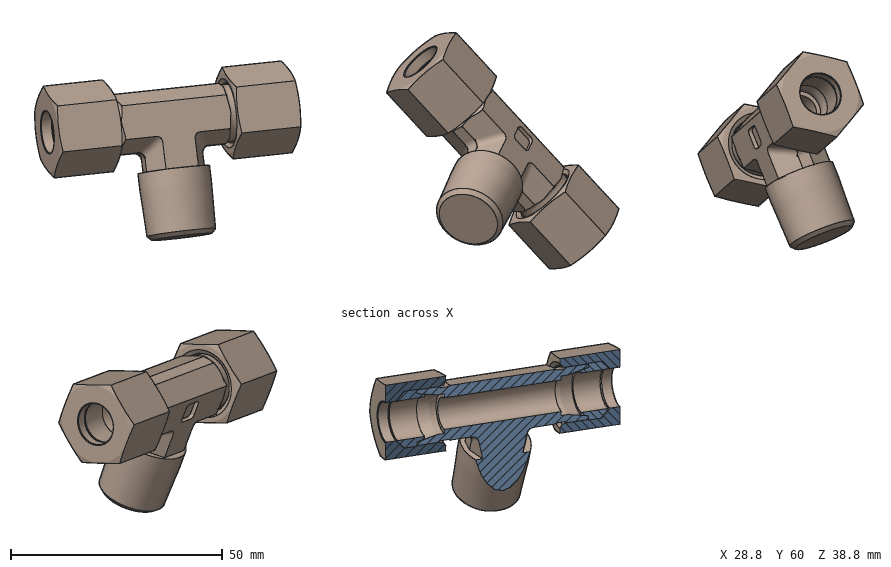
import cadquery as cq
import math


TILT = 22.5
HALF_LENGTH = 30.0
ENDS = (-1, 1)

BAR_FLATS = 14.0
BAR_HEIGHT = 14.4
CROTCH_FILLET = 1.8
NECK_DIAMETER = 13.7
NECK_START = 14.1
NECK_FILLET = 1.0
THREAD_DIAMETER = 14.4
THREAD_START = 16.0
HOUSING_END = 22.0

BORE_DIAMETER = 8.0
TUBE_DIAMETER = 10.0
TUBE_STOP = 15.0
CONE_MOUTH_DIAMETER = 12.3
CONE_HALF_ANGLE = 12.0

COLLAR_DIAMETER = 17.15
COLLAR_START = 12.0
TAPER_START = 16.0
BRANCH_LENGTH = 28.0
SPIGOT_CHAMFER = 1.0
TIP_DIAMETER = 14.4

RECESS_SIDE = 5.0
RECESS_CORNER = 1.0
RECESS_DEPTH = 1.0

NUT_FLATS = 19.0
NUT_LENGTH = 15.5
NUT_CHAMFER_ANGLE = 15.0
NUT_BORE_CHAMFER = 0.2
NUT_MOUTH_DIAMETER = 16.5
NUT_MOUTH_ANGLE = 30.0
NUT_CONE_END = 27.3

RING_NOSE = 20.0
RING_BACK = 26.95


def tan(degrees):
    return math.tan(math.radians(degrees))


def revolve_about_run(profile):
    """Turn a closed profile of the XY plane about the Y axis."""
    return profile.close().revolve(360, (0, 0, 0), (0, 1, 0))


def at_end(body, end):
    """Place a body built for the +Y end at the given end of the run."""
    return body if end > 0 else body.mirror("XZ")


def tilted(body):
    return body.rotate((0, 0, 0), (0, 1, 0), -TILT)


def hexagon_points(across_flats):
    """Corners of a hexagon with flats facing +X and -X."""
    radius = across_flats / math.sqrt(3)
    angles = [math.radians(30 + 60 * i) for i in range(6)]
    return [(radius * math.cos(a), radius * math.sin(a)) for a in angles]


def truncated_bar(plane, length):
    """Hexagonal bar whose two pointed corners are cut flat."""
    hexagon = cq.Workplane(plane).polyline(hexagon_points(BAR_FLATS)).close().extrude(length)
    slab = cq.Workplane(plane).rect(2 * BAR_FLATS, BAR_HEIGHT).extrude(length)
    return hexagon.intersect(slab)


def run_envelope():
    """Turned shape that ends the hexagonal run and gives it filleted necks."""
    clear_radius = BAR_FLATS
    neck = NECK_DIAMETER / 2
    fillet_top = neck + NECK_FILLET
    run_end = NECK_START - NECK_FILLET
    sag = NECK_FILLET * math.sqrt(0.5)
    half = revolve_about_run(
        cq.Workplane("XY")
        .lineTo(clear_radius, 0)
        .lineTo(clear_radius, run_end)
        .lineTo(fillet_top, run_end)
        .threePointArc((fillet_top - sag, NECK_START - sag), (neck, NECK_START))
        .lineTo(neck, THREAD_START)
        .lineTo(0, THREAD_START)
    )
    return half.union(half.mirror("XZ"))


def tee_blank():
    """Necked run and stem joined, with the inner corners filleted."""
    run = truncated_bar("XZ", THREAD_START).mirror("XZ", union=True).intersect(run_envelope())
    stem = truncated_bar("XY", -COLLAR_START)
    half_width = BAR_FLATS / 2
    half_height = BAR_HEIGHT / 2
    margin = 0.05
    crotch = cq.selectors.BoxSelector(
        (-half_width, -half_height - margin, -half_height - margin),
        (half_width, half_height + margin, -half_width / math.sqrt(3)),
    )
    return run.union(stem).edges(crotch).fillet(CROTCH_FILLET)


def branch_spigot():
    """Collar, tapered thread and chamfered tip of the branch."""
    collar = COLLAR_DIAMETER / 2
    tip = TIP_DIAMETER / 2
    return (
        cq.Workplane("XZ")
        .moveTo(0, -COLLAR_START)
        .lineTo(collar, -COLLAR_START)
        .lineTo(collar, -TAPER_START)
        .lineTo(tip + SPIGOT_CHAMFER, SPIGOT_CHAMFER - BRANCH_LENGTH)
        .lineTo(tip, -BRANCH_LENGTH)
        .lineTo(0, -BRANCH_LENGTH)
        .close()
        .revolve(360, (0, 0, 0), (0, 1, 0))
    )


def threaded_end():
    """Externally threaded end on which a nut is screwed."""
    thread_length = HOUSING_END - THREAD_START
    return cq.Workplane("XZ", (0, THREAD_START, 0)).circle(THREAD_DIAMETER / 2).extrude(-thread_length)


def half_bore():
    """Bore, tube socket and clamping cone of the +Y half of the run."""
    tube = TUBE_DIAMETER / 2
    cone_mouth = CONE_MOUTH_DIAMETER / 2
    return revolve_about_run(
        cq.Workplane("XY")
        .lineTo(BORE_DIAMETER / 2, 0)
        .lineTo(BORE_DIAMETER / 2, TUBE_STOP)
        .lineTo(tube, TUBE_STOP)
        .lineTo(tube, HOUSING_END - (cone_mouth - tube) / tan(CONE_HALF_ANGLE))
        .lineTo(cone_mouth, HOUSING_END)
        .lineTo(0, HOUSING_END)
    )


def marking_recess():
    """Rounded square recess in the -X flat."""
    return (
        cq.Workplane("YZ", (-BAR_FLATS / 2, 0, 0))
        .rect(RECESS_SIDE, RECESS_SIDE)
        .extrude(RECESS_DEPTH)
        .edges("|X")
        .fillet(RECESS_CORNER)
    )


def make_housing():
    housing = tee_blank().union(branch_spigot())
    for end in ENDS:
        housing = housing.union(at_end(threaded_end(), end))
    for end in ENDS:
        housing = housing.cut(at_end(half_bore(), end))
    return housing.cut(marking_recess())


def make_nut(end):
    """Union nut with both faces chamfered, threaded mouth and clamping cone."""
    mouth_y = HALF_LENGTH - NUT_LENGTH
    flat_radius = NUT_FLATS / 2
    corner = NUT_FLATS / math.sqrt(3)
    rise = (corner - flat_radius) * tan(NUT_CHAMFER_ANGLE)
    hexagon = (
        cq.Workplane("XZ", (0, mouth_y, 0)).polyline(hexagon_points(NUT_FLATS)).close().extrude(-NUT_LENGTH)
    )
    envelope = revolve_about_run(
        cq.Workplane("XY")
        .moveTo(0, mouth_y)
        .lineTo(flat_radius, mouth_y)
        .lineTo(corner, mouth_y + rise)
        .lineTo(corner, HALF_LENGTH - rise)
        .lineTo(flat_radius, HALF_LENGTH)
        .lineTo(0, HALF_LENGTH)
    )
    thread = THREAD_DIAMETER / 2
    mouth = NUT_MOUTH_DIAMETER / 2
    bore = TUBE_DIAMETER / 2
    cavity = revolve_about_run(
        cq.Workplane("XY")
        .moveTo(0, mouth_y)
        .lineTo(mouth, mouth_y)
        .lineTo(thread, mouth_y + (mouth - thread) * tan(NUT_MOUTH_ANGLE))
        .lineTo(thread, NUT_CONE_END - (thread - bore))
        .lineTo(bore, NUT_CONE_END)
        .lineTo(bore, HALF_LENGTH - NUT_BORE_CHAMFER)
        .lineTo(bore + NUT_BORE_CHAMFER, HALF_LENGTH)
        .lineTo(0, HALF_LENGTH)
    )
    return at_end(hexagon.intersect(envelope).cut(cavity), end)


def make_cutting_ring(end):
    """Ring wedged between the housing cone and the 45 degree cone of the nut."""
    tube = TUBE_DIAMETER / 2
    cone_mouth = CONE_MOUTH_DIAMETER / 2
    rim = THREAD_DIAMETER / 2
    back = tube + NUT_CONE_END - RING_BACK
    profile = (
        cq.Workplane("XY")
        .moveTo(tube, RING_NOSE)
        .lineTo(cone_mouth - (HOUSING_END - RING_NOSE) * tan(CONE_HALF_ANGLE), RING_NOSE)
        .lineTo(cone_mouth, HOUSING_END)
        .lineTo(rim, HOUSING_END)
        .lineTo(rim, RING_BACK - (rim - back))
        .lineTo(back, RING_BACK)
        .lineTo(tube, RING_BACK)
    )
    return at_end(revolve_about_run(profile), end)


housing = tilted(make_housing())
nuts = [tilted(make_nut(end)) for end in ENDS]
cutting_rings = [tilted(make_cutting_ring(end)) for end in ENDS]

result = cq.Compound.makeCompound([
    housing.val(),
    *[nut.val() for nut in nuts],
    *[ring.val() for ring in cutting_rings],
])